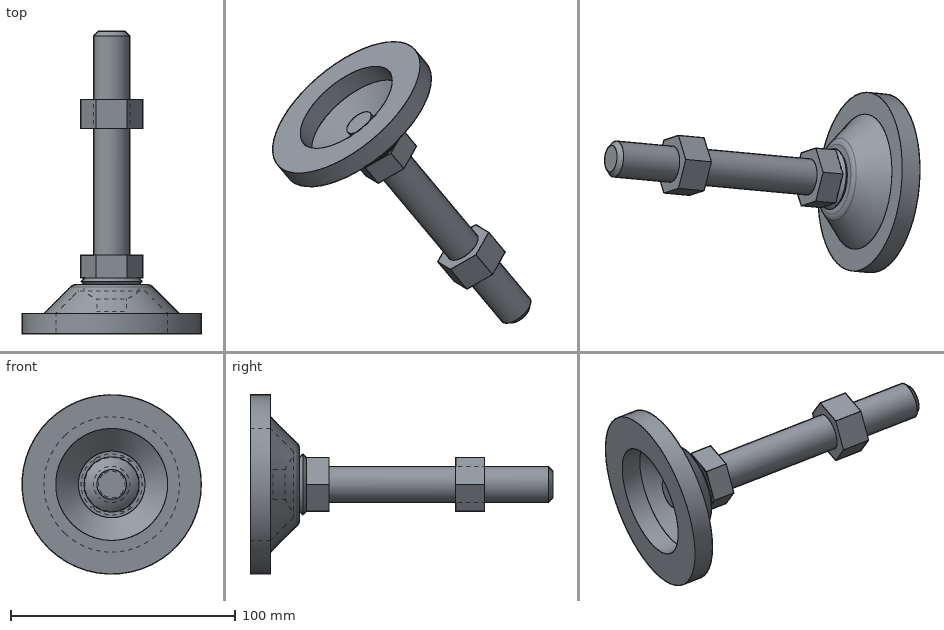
import cadquery as cq
import math

TOTAL_LENGTH = 135.0

FOOT_RADIUS = 80.0 / 2
FLANGE_HEIGHT = 9.0
FOOT_HEIGHT = 22.0
CONE_BASE_RADIUS = 30.2
CONE_TOP_RADIUS = CONE_BASE_RADIUS - (FOOT_HEIGHT - FLANGE_HEIGHT)
CONE_TOP_FILLET = 4.0
CAVITY_RADIUS = 25.0
CAVITY_TOP_RADIUS = 14.8
CAVITY_HEIGHT = FLANGE_HEIGHT + CAVITY_RADIUS - CAVITY_TOP_RADIUS

PIVOT_RADIUS = 12.3
BALL_RADIUS = 17.5
PIVOT_TIP_RADIUS = 6.6
PIVOT_TIP_Y = 10.0
COLLAR_RADIUS = 13.6
COLLAR_Y = 23.4
HEX_ACROSS_FLATS = 24.0
SWIVEL_HEX_START = 25.0
SWIVEL_HEX_END = 35.1

ROD_RADIUS = 8.1
ROD_CHAMFER = 2.2
NUT_START = 91.5
NUT_HEIGHT = 13.0


def revolve_about_y(profile):
    """Turn a closed profile of (radius, y) points about the Y axis."""
    return profile.close().revolve(360, (0, 0, 0), (0, 1, 0))


def cylinder(radius, start, end):
    """Cylinder on the Y axis between two heights."""
    return cq.Workplane("XZ", origin=(0, start, 0)).circle(radius).extrude(start - end)


def hexagon(start, end):
    """Hexagonal prism on the Y axis with two corners on the X axis."""
    across_corners = HEX_ACROSS_FLATS / math.cos(math.pi / 6)
    return cq.Workplane("XZ", origin=(0, start, 0)).polygon(6, across_corners).extrude(start - end)


def make_foot():
    """Flanged cone, hollow from below, with a straight hole for the pivot."""
    outer = revolve_about_y(
        cq.Workplane("XY")
        .lineTo(FOOT_RADIUS, 0)
        .lineTo(FOOT_RADIUS, FLANGE_HEIGHT)
        .lineTo(CONE_BASE_RADIUS, FLANGE_HEIGHT)
        .lineTo(CONE_TOP_RADIUS, FOOT_HEIGHT)
        .lineTo(0, FOOT_HEIGHT)
    )
    outer = outer.faces(">Y").edges().fillet(CONE_TOP_FILLET)
    cavity = revolve_about_y(
        cq.Workplane("XY")
        .lineTo(CAVITY_RADIUS, 0)
        .lineTo(CAVITY_RADIUS, FLANGE_HEIGHT)
        .lineTo(CAVITY_TOP_RADIUS, CAVITY_HEIGHT)
        .lineTo(0, CAVITY_HEIGHT)
    )
    return outer.cut(cavity).cut(cylinder(PIVOT_RADIUS, 0, FOOT_HEIGHT))


def make_swivel():
    """Hexagon with a ridged collar and a pivot that ends in a rounded shoulder and a round tip."""
    ball_centre_y = CAVITY_HEIGHT + math.sqrt(BALL_RADIUS**2 - PIVOT_RADIUS**2)
    tip_base_y = ball_centre_y - math.sqrt(BALL_RADIUS**2 - PIVOT_TIP_RADIUS**2)
    turned = revolve_about_y(
        cq.Workplane("XY")
        .moveTo(0, PIVOT_TIP_Y)
        .lineTo(PIVOT_TIP_RADIUS, PIVOT_TIP_Y)
        .lineTo(PIVOT_TIP_RADIUS, tip_base_y)
        .radiusArc((PIVOT_RADIUS, CAVITY_HEIGHT), -BALL_RADIUS)
        .lineTo(PIVOT_RADIUS, FOOT_HEIGHT)
        .lineTo(COLLAR_RADIUS, COLLAR_Y)
        .lineTo(HEX_ACROSS_FLATS / 2, SWIVEL_HEX_START)
        .lineTo(0, SWIVEL_HEX_START)
    )
    return turned.union(hexagon(SWIVEL_HEX_START, SWIVEL_HEX_END))


def make_rod():
    """Plain rod standing on the hexagon, chamfered at its free end."""
    return cylinder(ROD_RADIUS, SWIVEL_HEX_END, TOTAL_LENGTH).faces(">Y").chamfer(ROD_CHAMFER)


def make_lock_nut():
    """Hexagonal nut with a bore that fits the rod."""
    nut_end = NUT_START + NUT_HEIGHT
    return hexagon(NUT_START, nut_end).cut(cylinder(ROD_RADIUS, NUT_START, nut_end))


foot = make_foot()
swivel = make_swivel()
rod = make_rod()
lock_nut = make_lock_nut()

result = cq.Compound.makeCompound([foot.val(), swivel.val(), rod.val(), lock_nut.val()])